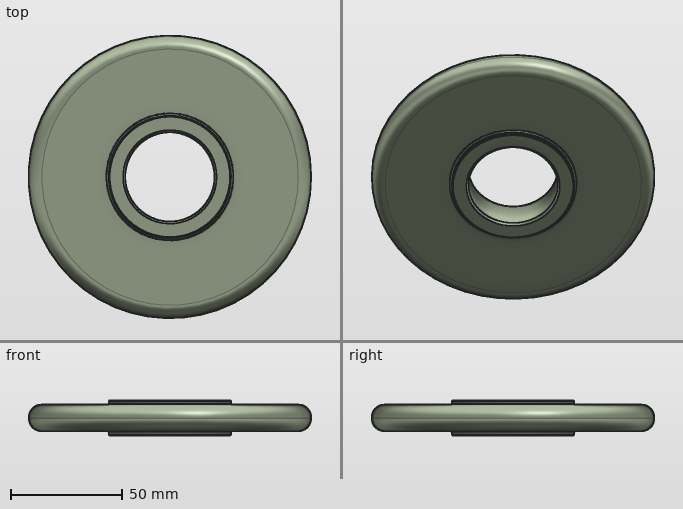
import cadquery as cq

disc_diameter = 127.0
disc_thickness = 12.1
rim_radius = 6.0

hub_diameter = 57.0
hub_height = 16.0
collar_diameter = 55.0
collar_chamfer = 0.5
collar_base_gap = 0.3

bore_diameter = 40.0
bore_chamfer = 1.0


def make_disc():
    """Disc with a rounded rim and a plain hole that fits the hub."""
    disc = cq.Workplane("XY").circle(disc_diameter / 2).extrude(disc_thickness)
    disc = disc.translate((0, 0, -disc_thickness / 2))
    disc = disc.faces("<Z or >Z").edges().fillet(rim_radius)
    return disc.faces(">Z").workplane().hole(hub_diameter)


def make_hub():
    """Bushing with a narrower collar at each end and chamfered end edges."""
    bore = bore_diameter / 2
    collar = collar_diameter / 2
    outer = hub_diameter / 2
    top = hub_height / 2
    collar_base = disc_thickness / 2 + collar_base_gap
    shoulder = collar_base - (outer - collar)
    upper_profile = [
        (bore, top - bore_chamfer),
        (bore + bore_chamfer, top),
        (collar - collar_chamfer, top),
        (collar, top - collar_chamfer),
        (collar, collar_base),
        (outer, shoulder),
    ]
    lower_profile = [(radius, -z) for radius, z in reversed(upper_profile)]
    profile = cq.Workplane("XZ").polyline(upper_profile + lower_profile).close()
    return profile.revolve(360, (0, 0, 0), (0, 1, 0))


disc = make_disc()
hub = make_hub()
result = cq.Compound.makeCompound([disc.val(), hub.val()])